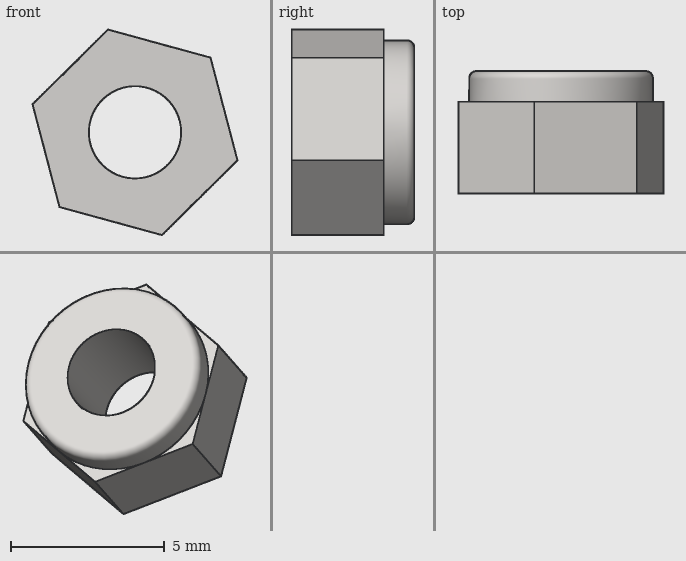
import cadquery as cq
import math

overall_height = 6.7
hex_length = 3.0
total_length = 4.0
collar_rounding = 0.25
corner_angle = 44.7

top_corner_angle = corner_angle + 60
corner_diameter = overall_height / math.sin(math.radians(top_corner_angle))
across_flats = corner_diameter * math.cos(math.radians(30))
collar_diameter = across_flats
bore_diameter = across_flats / 2
collar_length = total_length - hex_length


def hex_body():
    """Hexagonal body running from Y = 0 toward +Y."""
    return (
        cq.Workplane("XZ")
        .transformed(rotate=(0, 0, corner_angle))
        .polygon(6, corner_diameter)
        .extrude(-hex_length)
    )


def collar():
    """Round collar behind the hexagon, with its outer rim rounded."""
    return (
        cq.Workplane("XZ", origin=(0, hex_length, 0))
        .circle(collar_diameter / 2)
        .extrude(-collar_length)
        .edges(">Y")
        .fillet(collar_rounding)
    )


def bore():
    """Plain hole through the whole nut."""
    return cq.Workplane("XZ").circle(bore_diameter / 2).extrude(-total_length)


result = hex_body().union(collar()).cut(bore())